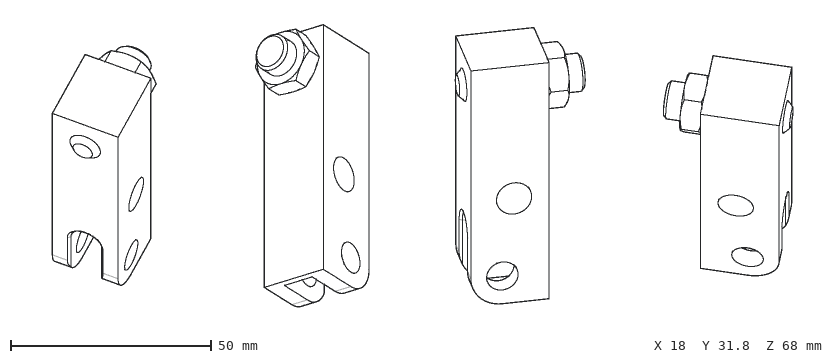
import cadquery as cq
import math

block_width = 18.0
block_depth = 20.0
block_height = 68.0
corner_radius = 8.0

lower_hole_diameter = 8.0
upper_hole_diameter = 9.0
upper_hole_y = 11.0
upper_hole_z = 30.0

slot_width = 8.4
slot_arc_z = 17.55
slot_depth = 18.0
slot_chamfer = 0.7

screw_diameter = 9.65
screw_z = block_height - block_width / 2
tip_diameter = 5.3
tip_base_diameter = 8.35
tip_length = 1.5
tail_length = 10.3
tail_chamfer = 0.75
nut_flats = 14.3
nut_thickness = 5.6
nut_bevel_angle = math.radians(30)


def cross_hole(diameter, y, z):
    return cq.Workplane("YZ").center(y, z).circle(diameter / 2).extrude(block_width, both=True)


def slot_outline(width, y):
    """Arched outline in the plane at depth y behind the front face."""
    half = width / 2
    return (
        cq.Workplane("XZ", origin=(0, y, 0))
        .moveTo(-half, 0)
        .lineTo(-half, slot_arc_z)
        .threePointArc((0, slot_arc_z + half), (half, slot_arc_z))
        .lineTo(half, 0)
        .close()
    )


def make_slot():
    slot = slot_outline(slot_width, 0).extrude(-slot_depth)
    mouth_wires = [
        slot_outline(slot_width + 2 * slot_chamfer, 0).val(),
        slot_outline(slot_width, slot_chamfer).val(),
    ]
    mouth = cq.Workplane(cq.Solid.makeLoft(mouth_wires, True))
    return slot.union(mouth)


def make_block():
    block = cq.Workplane("XY").box(
        block_width, block_depth, block_height, centered=(True, False, False)
    )
    block = block.faces("<Z").edges("<Y").fillet(corner_radius)
    block = block.cut(cross_hole(lower_hole_diameter, corner_radius, corner_radius))
    block = block.cut(cross_hole(upper_hole_diameter, upper_hole_y, upper_hole_z))
    return block.cut(make_slot())


def revolve_about_screw_axis(profile):
    """Revolve (radius, y) points about the screw axis."""
    solid = cq.Workplane("XY").polyline(profile).close().revolve(360, (0, 0), (0, 1))
    return solid.translate((0, 0, screw_z))


def make_screw():
    radius = screw_diameter / 2
    tip_radius = tip_diameter / 2
    tip_base_radius = tip_base_diameter / 2
    end = block_depth + tail_length
    return revolve_about_screw_axis([
        (0, -tip_length),
        (tip_radius, -tip_length),
        (tip_base_radius, 0),
        (radius, 0),
        (radius, end - tail_chamfer),
        (radius - tail_chamfer, end),
        (0, end),
    ])


def make_nut():
    corner_diameter = nut_flats / math.cos(math.pi / 6)
    nut_end = block_depth + nut_thickness
    hexagon = (
        cq.Workplane("XZ", origin=(0, block_depth, screw_z))
        .polygon(6, corner_diameter)
        .extrude(-nut_thickness)
    )
    flat_radius = nut_flats / 2
    nut_radius = corner_diameter / 2
    bevel = (nut_radius - flat_radius) * math.tan(nut_bevel_angle)
    envelope = revolve_about_screw_axis([
        (0, block_depth),
        (flat_radius, block_depth),
        (nut_radius, block_depth + bevel),
        (nut_radius, nut_end - bevel),
        (flat_radius, nut_end),
        (0, nut_end),
    ])
    return hexagon.intersect(envelope)


result = make_block().union(make_screw()).union(make_nut())